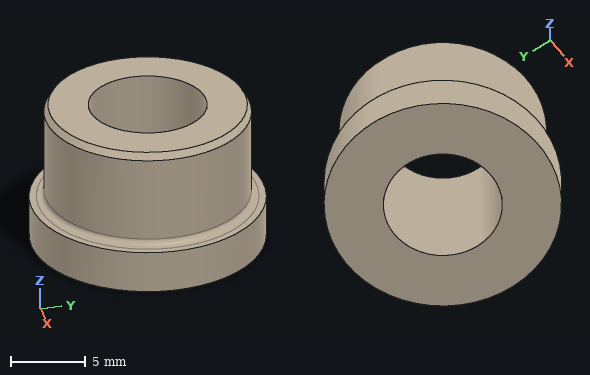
import cadquery as cq
import math

flange_radius = 8.0
flange_height = 3.0
body_radius = 7.0
bore_radius = 4.0
total_height = 10.0
root_fillet_radius = 0.5
lead_in_height = 0.5
lead_in_angle = math.radians(30.0)

lead_in_width = lead_in_height * math.tan(lead_in_angle)


def make_flange():
    return cq.Workplane("XY").circle(flange_radius).extrude(flange_height)


def make_body():
    """Cylindrical body with a concave fillet at its root and a conical lead-in at its top."""
    fillet_outer_radius = body_radius + root_fillet_radius
    fillet_top = flange_height + root_fillet_radius
    arc_offset = root_fillet_radius * math.sqrt(0.5)
    fillet_midpoint = (fillet_outer_radius - arc_offset, fillet_top - arc_offset)
    profile = (
        cq.Workplane("XZ")
        .moveTo(0, 0)
        .lineTo(fillet_outer_radius, 0)
        .lineTo(fillet_outer_radius, flange_height)
        .threePointArc(fillet_midpoint, (body_radius, fillet_top))
        .lineTo(body_radius, total_height - lead_in_height)
        .lineTo(body_radius - lead_in_width, total_height)
        .lineTo(0, total_height)
        .close()
    )
    return profile.revolve(360, (0, 0, 0), (0, 1, 0))


def make_bore():
    return cq.Workplane("XY").circle(bore_radius).extrude(total_height)


result = make_flange().union(make_body()).cut(make_bore())